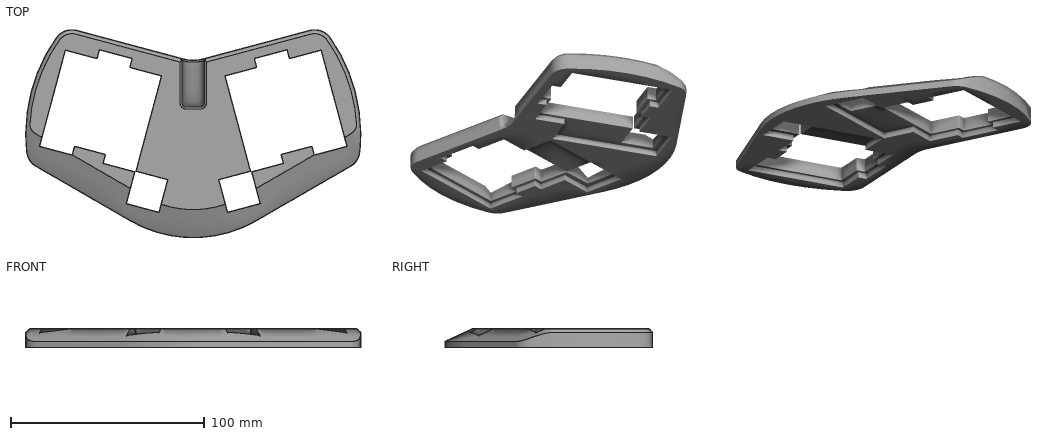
import math

import cadquery as cq

WIDTH = 173.25
DEPTH = 107.51
HEIGHT = 9.9

BACK_ANGLE = 15.0
FRONT_ANGLE = 30.0
FRONT_RADIUS = 65.0
SIDE_CENTRE_Y = 53.5
BACK_DISTANCE = 87.96
BACK_CORNER_RADIUS = 10.0
FRONT_CORNER_RADIUS = 10.0
NOTCH_RADIUS = 20.0

EDGE_CHAMFER = 2.0
RIM_HEIGHT = 3.2
SLOPE_RUN = 14.5
SLOPE_CORNER_RADIUS = 6.5

KEY_PITCH = 17.0
KEY_CLEARANCE = 0.2
KEY_COLUMNS = 3
KEY_ROWS = 3
MIDDLE_STAGGER = 4.75
KEY_CORNER_U = -37.75
KEY_CORNER_V = 25.3
STEP_RADIUS = 0.5
RECESS_OFFSET = 2.2
RECESS_HEIGHT = 3.0
INNER_RECESS_ROWS = 3
INNER_RECESS_OFFSET = 3.0

SLOT_HALF_WIDTH = 5.9
SLOT_END_Y = 67.5
SLOT_FLOOR_Z = 1.3
SLOT_FLOOR_RADIUS = 2.8
SLOT_CORNER_RADIUS = 2.5
SLOT_LIP = 1.0
SLOT_EXIT_CHAMFER = 1.0

SIDE_RADIUS = WIDTH / 2
MARGIN = 20.0
BACK_TAN = math.tan(math.radians(BACK_ANGLE))
BACK_COS = math.cos(math.radians(BACK_ANGLE))
FRONT_TAN = math.tan(math.radians(FRONT_ANGLE))
FRONT_SIN = math.sin(math.radians(FRONT_ANGLE))
FRONT_COS = math.cos(math.radians(FRONT_ANGLE))
SLOPE_PER_RISE = SLOPE_RUN / (HEIGHT - RIM_HEIGHT)


def front_profile(radius, half_width):
    """Nose arc of the given radius with its tangent straight edges, out to half_width."""
    tangent_x = radius * FRONT_SIN
    tangent_y = FRONT_RADIUS - radius * FRONT_COS
    end_y = tangent_y + (half_width - tangent_x) * FRONT_TAN
    return (
        cq.Workplane("XY")
        .moveTo(-half_width, end_y)
        .lineTo(-tangent_x, tangent_y)
        .threePointArc((0, FRONT_RADIUS - radius), (tangent_x, tangent_y))
        .lineTo(half_width, end_y)
    )


def side_point(start_y, slope):
    """Point where the line y = start_y + slope * x meets the right-hand side arc."""
    rise = start_y - SIDE_CENTRE_Y
    square_term = 1 + slope ** 2
    half_linear_term = rise * slope
    root = math.sqrt(half_linear_term ** 2 - square_term * (rise ** 2 - SIDE_RADIUS ** 2))
    x = (root - half_linear_term) / square_term
    return x, start_y + slope * x


def make_plate():
    """Flat plate with the outer outline and a chamfered top edge."""
    notch_y = BACK_DISTANCE / BACK_COS
    front_apex_y = FRONT_RADIUS - FRONT_RADIUS / FRONT_COS
    back_x, back_y = side_point(notch_y, BACK_TAN)
    front_x, front_y = side_point(front_apex_y, FRONT_TAN)
    plate = (
        front_profile(FRONT_RADIUS, front_x)
        .threePointArc((SIDE_RADIUS, SIDE_CENTRE_Y), (back_x, back_y))
        .lineTo(0, notch_y)
        .lineTo(-back_x, back_y)
        .threePointArc((-SIDE_RADIUS, SIDE_CENTRE_Y), (-front_x, front_y))
        .close()
        .extrude(HEIGHT)
    )
    corners = [
        (back_x, back_y, BACK_CORNER_RADIUS),
        (-back_x, back_y, BACK_CORNER_RADIUS),
        (front_x, front_y, FRONT_CORNER_RADIUS),
        (-front_x, front_y, FRONT_CORNER_RADIUS),
        (0, notch_y, NOTCH_RADIUS),
    ]
    for x, y, radius in corners:
        upright_edge = cq.selectors.NearestToPointSelector((x, y, HEIGHT / 2))
        plate = plate.edges("|Z").edges(upright_edge).fillet(radius)
    return plate.faces(">Z").edges().chamfer(EDGE_CHAMFER)


def slope_level(z):
    """Closed outline of the front slope at height z, with rounded corners at the sides."""
    drop = HEIGHT - z
    nose_radius = FRONT_RADIUS + (RIM_HEIGHT - z) * SLOPE_PER_RISE
    side_x = SIDE_RADIUS - EDGE_CHAMFER + drop
    apex_y = FRONT_RADIUS - nose_radius / FRONT_COS
    corner_y = apex_y + side_x * FRONT_TAN
    tangent_length = SLOPE_CORNER_RADIUS * FRONT_TAN
    blend_x = side_x - tangent_length * FRONT_COS
    blend_y = corner_y - tangent_length * FRONT_SIN
    side_y = corner_y + tangent_length
    far_y = DEPTH + MARGIN
    return (
        front_profile(nose_radius, blend_x)
        .radiusArc((side_x, side_y), -SLOPE_CORNER_RADIUS)
        .lineTo(side_x, far_y)
        .lineTo(-side_x, far_y)
        .lineTo(-side_x, side_y)
        .radiusArc((-blend_x, blend_y), -SLOPE_CORNER_RADIUS)
        .close()
        .val()
        .translate(cq.Vector(0, 0, z))
    )


def slope_front(plate):
    """Trim the plate with a slope that rises inwards from the front edges."""
    envelope = cq.Solid.makeLoft([slope_level(0), slope_level(HEIGHT + EDGE_CHAMFER)], True)
    return plate.intersect(cq.Workplane(envelope))


def turned(body):
    """Move a body from the left half's key frame into part coordinates."""
    return body.rotate((0, 0, 0), (0, 0, 1), -BACK_ANGLE)


def key_block(column, row, columns, rows, shift, growth, height):
    """Rectangular cutter over a block of key cells, grown outwards on all sides."""
    left = KEY_CORNER_U + (column - KEY_COLUMNS) * KEY_PITCH - growth
    front = KEY_CORNER_V + row * KEY_PITCH + shift - growth
    return (
        cq.Workplane("XY")
        .rect(columns * KEY_PITCH + 2 * growth, rows * KEY_PITCH + 2 * growth)
        .extrude(height)
        .translate((left + columns * KEY_PITCH / 2 + growth, front + rows * KEY_PITCH / 2 + growth, 0))
    )


def finger_opening(growth, height):
    """Cutter for the three columns of finger keys, the middle one staggered."""
    outer = key_block(0, 0, KEY_COLUMNS, KEY_ROWS, 0, growth, height)
    front_gap = key_block(1, 0, 1, KEY_ROWS, MIDDLE_STAGGER - KEY_ROWS * KEY_PITCH, -growth, height)
    middle = key_block(1, 0, 1, KEY_ROWS, MIDDLE_STAGGER, growth, height)
    return outer.cut(front_gap).union(middle)


def round_steps(opening):
    """Round the plate corners that protrude into a finger opening at the column steps."""
    column_left = KEY_CORNER_U - 2 * KEY_PITCH
    column_right = KEY_CORNER_U - KEY_PITCH
    front_v = KEY_CORNER_V + MIDDLE_STAGGER - KEY_CLEARANCE
    back_v = KEY_CORNER_V + KEY_ROWS * KEY_PITCH + KEY_CLEARANCE
    step_corners = [
        (column_left + KEY_CLEARANCE, front_v),
        (column_right - KEY_CLEARANCE, front_v),
        (column_left - KEY_CLEARANCE, back_v),
        (column_right + KEY_CLEARANCE, back_v),
    ]
    for u, v in step_corners:
        corner = cq.selectors.NearestToPointSelector((u, v, HEIGHT / 2))
        opening = opening.edges("|Z").edges(corner).fillet(STEP_RADIUS)
    return opening


def cut_key_openings(plate):
    """Cut the key openings through both halves, widened from below."""
    cutters = [
        round_steps(finger_opening(KEY_CLEARANCE, HEIGHT)),
        finger_opening(RECESS_OFFSET, RECESS_HEIGHT),
        key_block(KEY_COLUMNS, -1, 1, 1, 0, KEY_CLEARANCE, HEIGHT),
        key_block(KEY_COLUMNS, -1, 1, INNER_RECESS_ROWS, 0, INNER_RECESS_OFFSET, RECESS_HEIGHT),
    ]
    for cutter in cutters:
        left = turned(cutter)
        plate = plate.cut(left).cut(left.mirror("YZ"))
    return plate


def slot_section(length):
    """Slot cross-section: flat floor, rounded lower corners, upright walls."""
    return (
        cq.Workplane("XZ")
        .moveTo(-SLOT_HALF_WIDTH, HEIGHT)
        .lineTo(-SLOT_HALF_WIDTH, SLOT_FLOOR_Z + SLOT_FLOOR_RADIUS)
        .radiusArc((SLOT_FLOOR_RADIUS - SLOT_HALF_WIDTH, SLOT_FLOOR_Z), -SLOT_FLOOR_RADIUS)
        .lineTo(SLOT_HALF_WIDTH - SLOT_FLOOR_RADIUS, SLOT_FLOOR_Z)
        .radiusArc((SLOT_HALF_WIDTH, SLOT_FLOOR_Z + SLOT_FLOOR_RADIUS), -SLOT_FLOOR_RADIUS)
        .lineTo(SLOT_HALF_WIDTH, HEIGHT)
        .close()
        .extrude(-length)
        .translate((0, SLOT_END_Y, 0))
    )


def slot_plan(half_width, end_y, corner_radius, height):
    """Plan shape of the slot, with rounded corners at its closed end."""
    length = DEPTH - end_y
    return (
        cq.Workplane("XY")
        .rect(2 * half_width, length)
        .extrude(height)
        .edges("|Z and <Y")
        .fillet(corner_radius)
        .translate((0, end_y + length / 2, 0))
    )


def cut_cable_slot(plate):
    """Cut the cable slot into the back notch, chamfer its top edge and its floor at the exit."""
    slot = slot_section(DEPTH - SLOT_END_Y).intersect(
        slot_plan(SLOT_HALF_WIDTH, SLOT_END_Y, SLOT_CORNER_RADIUS, HEIGHT))
    lip = (
        slot_plan(SLOT_HALF_WIDTH + SLOT_LIP, SLOT_END_Y - SLOT_LIP, SLOT_CORNER_RADIUS + SLOT_LIP, HEIGHT)
        .faces("<Z")
        .edges()
        .chamfer(SLOT_LIP)
        .translate((0, 0, HEIGHT - SLOT_LIP))
    )
    plate = plate.cut(slot).cut(lip)
    floor_edge = cq.selectors.NearestToPointSelector((0, BACK_DISTANCE / BACK_COS, SLOT_FLOOR_Z))
    return plate.edges(floor_edge).chamfer(SLOT_EXIT_CHAMFER)


plate = slope_front(make_plate())
result = cut_cable_slot(cut_key_openings(plate))